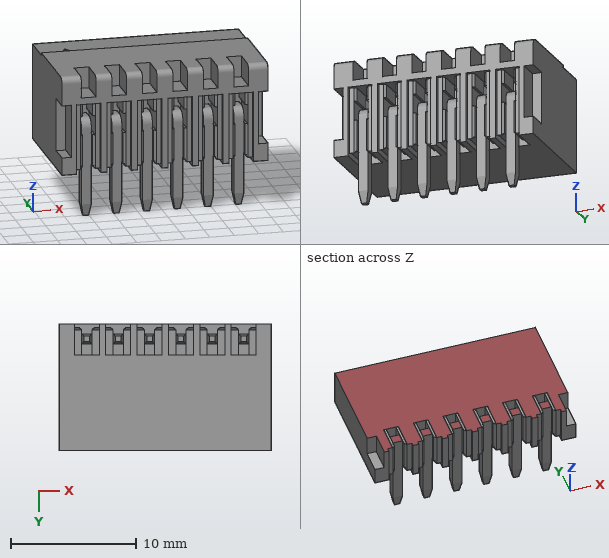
import cadquery as cq
import math

length = 16.9
depth = 10.1
height = 8.1
nose_radius = 0.5
ledge_depth = 3.1
ledge_drop = 0.2

pin_count = 6
pitch = 2.5
pin_positions = [(i - (pin_count - 1) / 2) * pitch for i in range(pin_count)]

slot_width = 1.2
slot_depth = 2.5
slot_height = 1.74
window_width = 2.0
window_depth = 0.29
window_cover = 2.3
window_top = height - window_cover
lip_height = 0.29

pin_size = 0.81
pin_front = 0.8
pin_center = pin_front + pin_size / 2
pin_drop = 3.8
taper_length = 0.98
tip_size = 0.44
leg_center = 3.89
leg_embed = 0.85
leg_clearance = 1.59

recess_width = 0.78
recess_depth = 1.98
recess_bottom = 1.45

mark_width = 0.5
mark_length = 0.5
mark_gap = 0.7
mark_depth = 0.1


def block(width, y_range, z_range, x=0.0):
    """Box centred on x, between the given Y and Z limits."""
    y_start, y_end = y_range
    z_start, z_end = z_range
    corner = (x - width / 2, y_start, z_start)
    solid = cq.Workplane("XY").box(width, y_end - y_start, z_end - z_start, centered=False)
    return solid.translate(corner)


def make_housing():
    body = block(length, (0, depth), (0, height))
    body = body.edges("|X and <Y and >Z").fillet(nose_radius)
    ledge = block(length, (depth - ledge_depth, depth), (height - ledge_drop, height))
    return body.cut(ledge)


def make_corner_recess(side):
    x = side * (length - recess_width) / 2
    return block(recess_width, (0, recess_depth), (recess_bottom, window_top), x)


def make_contact_cavity(x):
    """Top slot, front window, and the bevelled channel that the pin stands in."""
    bevel = (slot_width - pin_size) / 2
    bevel_end = window_depth + bevel
    top_slot = block(slot_width, (0, slot_depth), (height - slot_height, height), x)
    window = block(window_width, (0, window_depth), (0, window_top), x)
    channel = (
        cq.Workplane("XY")
        .polyline([
            (x - slot_width / 2, window_depth),
            (x - pin_size / 2, bevel_end),
            (x - pin_size / 2, slot_depth),
            (x + pin_size / 2, slot_depth),
            (x + pin_size / 2, bevel_end),
            (x + slot_width / 2, window_depth),
        ])
        .close()
        .extrude(window_top)
    )
    leg_opening = block(
        slot_width,
        (window_depth, slot_depth),
        (leg_center - leg_clearance / 2, leg_center + leg_clearance / 2),
        x,
    )
    undercut_top = lip_height + bevel_end - window_depth
    undercut = (
        cq.Workplane("YZ", origin=(x, 0, 0))
        .polyline([
            (window_depth, 0),
            (window_depth, lip_height),
            (bevel_end, undercut_top),
            (slot_depth, undercut_top),
            (slot_depth, 0),
        ])
        .close()
        .extrude(window_width / 2, both=True)
    )
    return top_slot.union(window).union(channel).union(leg_opening).union(undercut)


def make_pin(x):
    leg_bottom = leg_center - pin_size / 2
    leg_top = leg_center + pin_size / 2
    taper_start = taper_length - pin_drop
    pin_back = pin_front + pin_size
    leg_end = slot_depth + leg_embed
    arc_offset = pin_size * math.sqrt(0.5)
    leg = (
        cq.Workplane("YZ", origin=(x, 0, 0))
        .moveTo(pin_front, leg_bottom)
        .threePointArc((pin_back - arc_offset, leg_bottom + arc_offset), (pin_back, leg_top))
        .lineTo(leg_end, leg_top)
        .lineTo(leg_end, leg_bottom)
        .close()
        .extrude(pin_size / 2, both=True)
    )
    post = block(pin_size, (pin_front, pin_back), (taper_start, leg_bottom), x)
    tip = (
        cq.Workplane("XY", origin=(x, pin_center, taper_start))
        .rect(pin_size, pin_size)
        .workplane(offset=-taper_length)
        .rect(tip_size, tip_size)
        .loft()
    )
    return leg.union(post).union(tip)


def make_mark():
    base_y = depth - ledge_depth + mark_gap
    x = pin_positions[0]
    return (
        cq.Workplane("XY", origin=(x, base_y, height - ledge_drop - mark_depth))
        .polyline([(-mark_width / 2, 0), (mark_width / 2, 0), (0, mark_length)])
        .close()
        .extrude(mark_depth)
    )


result = make_housing().cut(make_mark())
for side in (-1, 1):
    result = result.cut(make_corner_recess(side))
for pin_x in pin_positions:
    result = result.cut(make_contact_cavity(pin_x))
for pin_x in pin_positions:
    result = result.union(make_pin(pin_x))